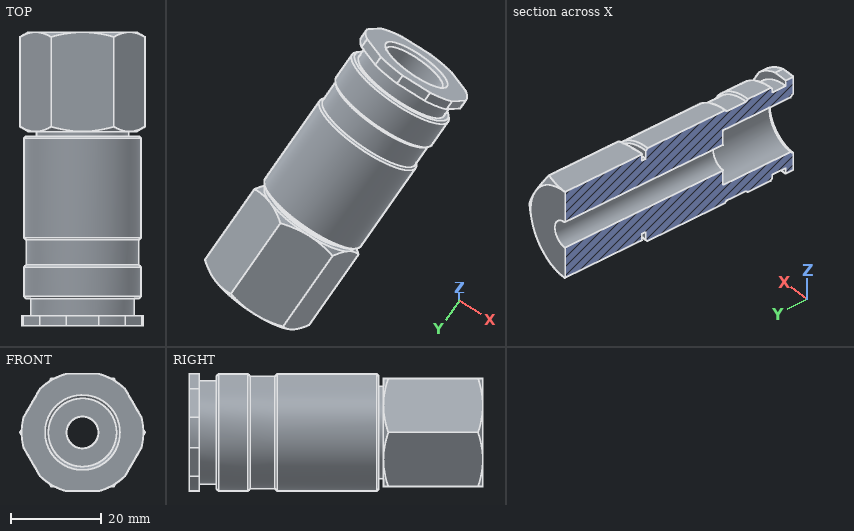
import cadquery as cq
import math

flange_length = 2.25
neck_length = 3.75
ring_length = 7.5
groove_length = 5.5
sleeve_length = 23.0
gap_length = 1.0
hex_length = 22.0

flange_diameter = 27.0
flange_across_flats = 26.0
neck_diameter = 23.0
sleeve_diameter = 26.0
groove_diameter = 25.0
gap_diameter = 20.5
hex_sides = 6
hex_across_flats = 24.0
edge_chamfer = 0.5
hex_chamfer_angle = 30.0
hex_half_angle = 180.0 / hex_sides

through_diameter = 7.0
socket_diameter = 15.1
socket_mouth_diameter = 16.6
socket_mouth_depth = 0.8
socket_depth = 20.0

neck_start = flange_length
ring_start = neck_start + neck_length
groove_start = ring_start + ring_length
sleeve_start = groove_start + groove_length
gap_start = sleeve_start + sleeve_length
hex_start = gap_start + gap_length
total_length = hex_start + hex_length


def cylinder(diameter, start, length):
    """Cylinder about the Y axis, running from start in the +Y direction."""
    return cq.Workplane("XZ", origin=(0, start, 0)).circle(diameter / 2).extrude(-length)


def hexagonal_prism(across_flats, start, length):
    """Hexagon about the Y axis with flats facing +Z and -Z."""
    across_corners = across_flats / math.cos(math.radians(hex_half_angle))
    outline = cq.Workplane("XZ", origin=(0, start, 0)).polygon(hex_sides, across_corners)
    return outline.extrude(-length)


def make_flange():
    """Round disc cut by six flats."""
    disc = cylinder(flange_diameter, 0, flange_length)
    return disc.intersect(hexagonal_prism(flange_across_flats, 0, flange_length))


def make_collar(start, length):
    """Full-diameter collar with both edges chamfered."""
    return cylinder(sleeve_diameter, start, length).edges("%CIRCLE").chamfer(edge_chamfer)


def make_hex_end():
    """Hexagon whose corners are turned down to a cone at both ends."""
    flat_radius = hex_across_flats / 2
    corner_radius = flat_radius / math.cos(math.radians(hex_half_angle))
    cone_depth = (corner_radius - flat_radius) * math.tan(math.radians(hex_chamfer_angle))
    turned_blank = (
        cq.Workplane("XY")
        .moveTo(0, hex_start)
        .lineTo(flat_radius, hex_start)
        .lineTo(corner_radius, hex_start + cone_depth)
        .lineTo(corner_radius, total_length - cone_depth)
        .lineTo(flat_radius, total_length)
        .lineTo(0, total_length)
        .close()
        .revolve(axisStart=(0, 0, 0), axisEnd=(0, 1, 0))
    )
    return hexagonal_prism(hex_across_flats, hex_start, hex_length).intersect(turned_blank)


def make_bore():
    """Flared socket at the flange end, followed by the through hole."""
    socket_radius = socket_diameter / 2
    through_radius = through_diameter / 2
    return (
        cq.Workplane("XY")
        .lineTo(socket_mouth_diameter / 2, 0)
        .lineTo(socket_radius, socket_mouth_depth)
        .lineTo(socket_radius, socket_depth)
        .lineTo(through_radius, socket_depth)
        .lineTo(through_radius, total_length)
        .lineTo(0, total_length)
        .close()
        .revolve(axisStart=(0, 0, 0), axisEnd=(0, 1, 0))
    )


result = (
    make_flange()
    .union(cylinder(neck_diameter, neck_start, neck_length))
    .union(make_collar(ring_start, ring_length))
    .union(cylinder(groove_diameter, groove_start, groove_length))
    .union(make_collar(sleeve_start, sleeve_length))
    .union(cylinder(gap_diameter, gap_start, gap_length))
    .union(make_hex_end())
    .cut(make_bore())
)